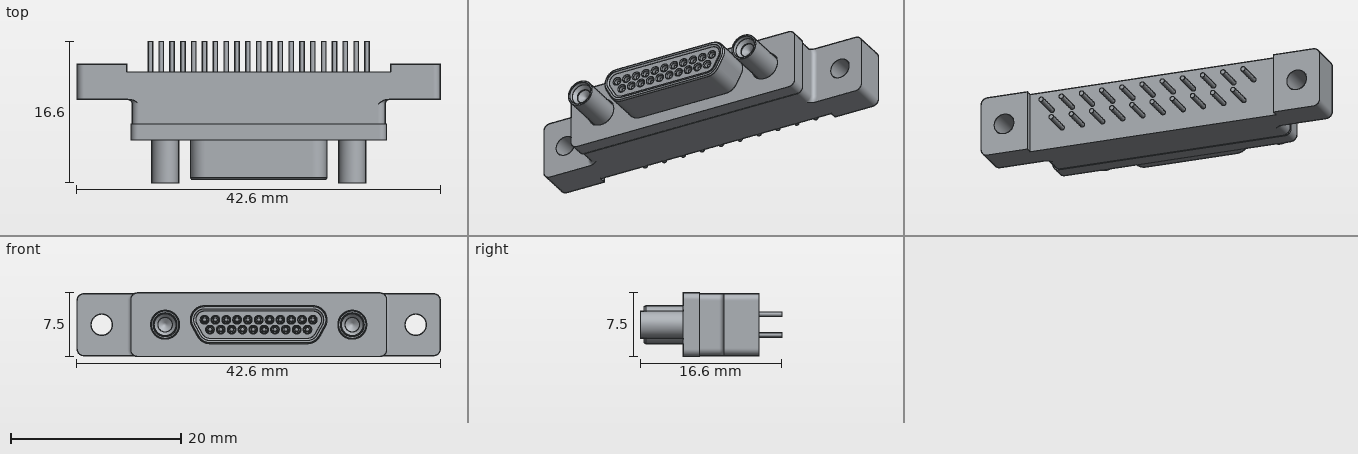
import cadquery as cq
import math

post_tip_y = -5.05
shell_tip_y = -4.6
plate_front_y = 0.0
plate_back_y = 1.9
flange_front_y = 4.8
body_back_y = 8.02
flange_back_y = 8.9
pin_tip_y = 11.6

total_length = 42.65
body_height = 7.3
back_recess_length = 30.98
neck_length = 29.75
plate_length = 30.05
plate_height = 7.5
corner_radius = 0.8
neck_fillet = 0.5
flange_hole_spacing = 36.85
flange_hole_diameter = 2.47

top_row_count = 11
socket_row_length = 12.7
socket_row_spacing = 1.15
socket_mouth_diameter = 1.02
socket_bore_diameter = 0.75
socket_depth = 1.7
contact_diameter = 0.45
contact_tip_depth = 0.35
nose_roundness = 0.9
pin_row_length = 2 * socket_row_length
pin_row_spacing = 2.45
pin_diameter = 0.55

shell_margin = 1.65
shell_chamfer_width = 0.13
shell_chamfer_length = 0.2
recess_margin = 1.3
recess_floor_margin = 1.02
recess_depth = 0.13

post_spacing = 21.98
post_diameter = 3.2
post_clearance_diameter = 3.4
post_lead_in_diameter = 2.8
post_mouth_diameter = 2.55
post_lead_in_depth = 0.4
post_bore_diameter = 1.7
post_bore_depth = 0.95
drill_point_half_angle = 59.0


def plane_at(y):
    """Plane facing -Y, with local x along X and local y along Z."""
    return cq.Workplane("XZ", origin=(0, y, 0))


def block(length, height, front_y, back_y):
    """Rectangular block centred on X and Z."""
    return plane_at(back_y).rect(length, height).extrude(back_y - front_y)


def rounded_block(length, height, front_y, back_y):
    """Centred block with its four edges along Y rounded."""
    return block(length, height, front_y, back_y).edges("|Y").fillet(corner_radius)


def turned_about_y(profile):
    """Solid of revolution about the Y axis from (radius, y) points."""
    return cq.Workplane("XY").polyline(profile).close().revolve(360, (0, 0), (0, 1))


def staggered_rows(row_length, row_spacing):
    """Contact centres (x, z) of both rows; row_length spans the upper row."""
    pitch = row_length / (top_row_count - 1)
    rows = ((top_row_count, row_spacing / 2), (top_row_count - 1, -row_spacing / 2))
    return [((i - (count - 1) / 2) * pitch, z) for count, z in rows for i in range(count)]


def housing():
    """Flange, neck and mounting plate."""
    oversize_height = body_height + 4 * neck_fillet
    flange = block(total_length, oversize_height, flange_front_y, flange_back_y)
    neck = rounded_block(neck_length, body_height, plate_back_y, flange_back_y)
    body = flange.union(neck)
    neck_foot = cq.selectors.BoxSelector(
        (-plate_length / 2, flange_front_y - neck_fillet, -plate_height / 2),
        (plate_length / 2, flange_front_y + neck_fillet, plate_height / 2),
    )
    body = body.faces("<Y[1]").edges(neck_foot).fillet(neck_fillet)
    body = body.intersect(rounded_block(total_length, body_height, plate_back_y, flange_back_y))
    body = body.cut(block(back_recess_length, body_height, body_back_y, flange_back_y))
    holes = (
        plane_at(flange_back_y)
        .pushPoints([(-flange_hole_spacing / 2, 0), (flange_hole_spacing / 2, 0)])
        .circle(flange_hole_diameter / 2)
        .extrude(flange_back_y - flange_front_y)
    )
    plate = rounded_block(plate_length, plate_height, plate_front_y, plate_back_y)
    return body.cut(holes).union(plate)


def shell_outline(y, margin):
    """D-shaped outline at a constant margin around the corner sockets."""
    top_x = socket_row_length / 2
    bottom_x = top_x * (top_row_count - 2) / (top_row_count - 1)
    z = socket_row_spacing / 2
    corners = [(-top_x, z), (top_x, z), (bottom_x, -z), (-bottom_x, -z)]
    return plane_at(y).polyline(corners).close().offset2D(margin, "arc")


def shell():
    """D-shaped shell with a chamfered rim and a shallow tapered recess in its tip."""
    body = shell_outline(plate_front_y, shell_margin).extrude(plate_front_y - shell_tip_y)
    body = body.faces("<Y").chamfer(shell_chamfer_length, shell_chamfer_width)
    taper = math.degrees(math.atan2(recess_margin - recess_floor_margin, recess_depth))
    recess = shell_outline(shell_tip_y, recess_margin).extrude(-recess_depth, taper=taper)
    return body.cut(recess)


def sockets():
    """Cutters for the cavities: a 45 degree lead-in and a bore that leaves a round-nosed contact standing."""
    mouth = socket_mouth_diameter / 2
    bore = socket_bore_diameter / 2
    profile = [(0, 0), (mouth, 0), (bore, mouth - bore), (bore, socket_depth), (0, socket_depth)]
    cavity = turned_about_y(profile)
    contact = contact_diameter / 2
    contact_length = socket_depth - contact_tip_depth
    pin = plane_at(socket_depth).circle(contact).extrude(contact_length)
    pin = pin.faces("<Y").edges().fillet(nose_roundness * contact)
    socket = cavity.cut(pin).val()
    floor_y = shell_tip_y + recess_depth
    centres = staggered_rows(socket_row_length, socket_row_spacing)
    return [socket.translate((x, floor_y, z)) for x, z in centres]


def jack_post(x):
    """Round post with a tapered lead-in, a conical mouth and a blind drilled bore."""
    length = plate_back_y - post_tip_y
    post = plane_at(plate_back_y).circle(post_diameter / 2).extrude(length)
    lead_in = post_lead_in_diameter / 2
    mouth = post_mouth_diameter / 2
    bore = post_bore_diameter / 2
    bore_start = post_lead_in_depth + mouth - bore
    point_length = bore / math.tan(math.radians(drill_point_half_angle))
    profile = [
        (0, 0),
        (lead_in, 0),
        (mouth, post_lead_in_depth),
        (bore, bore_start),
        (bore, post_bore_depth),
        (0, post_bore_depth + point_length),
    ]
    drill = turned_about_y(profile).translate((0, post_tip_y, 0))
    return post.cut(drill).translate((x, 0, 0))


def post_clearance(x):
    """Hole in the plate that leaves a narrow gap around a jack post."""
    return (
        plane_at(plate_back_y)
        .center(x, 0)
        .circle(post_clearance_diameter / 2)
        .extrude(plate_back_y - plate_front_y)
    )


def pins():
    """Solder pins behind the body, at twice the pitch of the sockets."""
    return (
        plane_at(pin_tip_y)
        .pushPoints(staggered_rows(pin_row_length, pin_row_spacing))
        .circle(pin_diameter / 2)
        .extrude(pin_tip_y - body_back_y)
    )


result = housing().union(shell())
for socket in sockets():
    result = result.cut(socket)
for side in (-1, 1):
    post_x = side * post_spacing / 2
    result = result.cut(post_clearance(post_x)).union(jack_post(post_x))
result = result.union(pins())